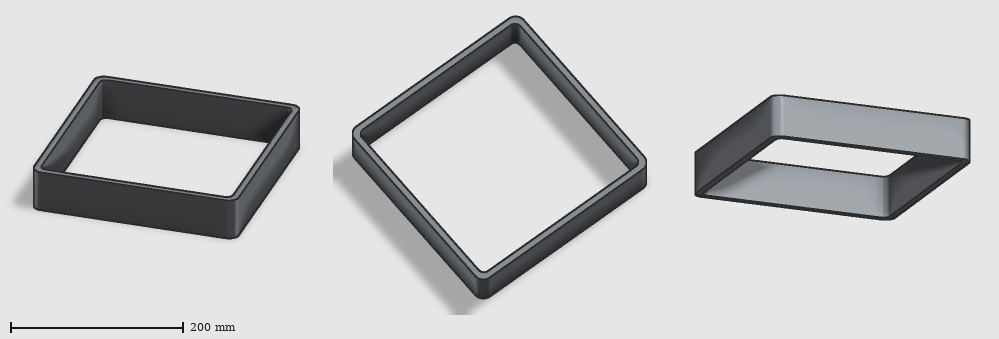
import cadquery as cq

side = 250.0
height = 50.0

wall = 8.0
outer_radius = 12.0
inner_radius = 8.0


def rounded_square_block(width, corner_radius):
    """Square block of the frame height with rounded vertical edges."""
    block = cq.Workplane("XY").rect(width, width).extrude(height)
    return block.edges("|Z").fillet(corner_radius)


outer_block = rounded_square_block(side, outer_radius)
opening = rounded_square_block(side - 2 * wall, inner_radius)

result = outer_block.cut(opening)